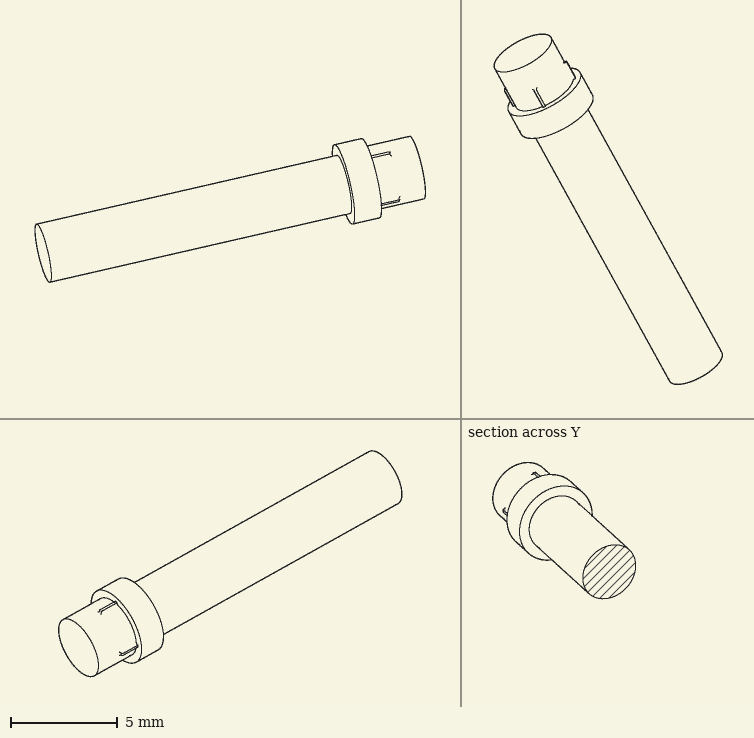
import cadquery as cq

total_length = 18.16
head_length = 2.25
collar_length = 1.3
rod_length = total_length - collar_length - head_length

rod_diameter = 2.8
collar_diameter = 3.81
head_diameter = 3.01

rib_count = 4
rib_width = 0.13
rib_height = 0.13
rib_length = 0.95
tip_radius = 0.04
root_radius = 0.07
rib_root_depth = 0.09

collar_start = rod_length
head_start = collar_start + collar_length


def cylinder_along_y(diameter, start, length):
    """Cylinder on the Y axis, running from start toward +Y."""
    return cq.Workplane("XZ", origin=(0, start, 0)).circle(diameter / 2).extrude(-length)


def add_top_rib(body):
    """Add one round-ended rib to the top of the head and blend its root."""
    surface = head_diameter / 2
    rib = (
        cq.Workplane("XY", origin=(0, head_start + rib_length / 2, surface - rib_root_depth))
        .rect(rib_width, rib_length)
        .extrude(rib_root_depth + rib_height)
        .faces(">Z")
        .edges(">Y")
        .fillet(tip_radius)
    )
    root_zone = cq.selectors.BoxSelector(
        (-rib_width, head_start + root_radius, surface - rib_root_depth),
        (rib_width, head_start + rib_length + root_radius, surface + rib_height / 4),
    )
    return body.union(rib).edges(root_zone).fillet(root_radius)


result = cylinder_along_y(rod_diameter, 0, rod_length)
result = result.union(cylinder_along_y(collar_diameter, collar_start, collar_length))
result = result.union(cylinder_along_y(head_diameter, head_start, head_length))

for _ in range(rib_count):
    result = add_top_rib(result).rotate((0, 0, 0), (0, 1, 0), 360 / rib_count)